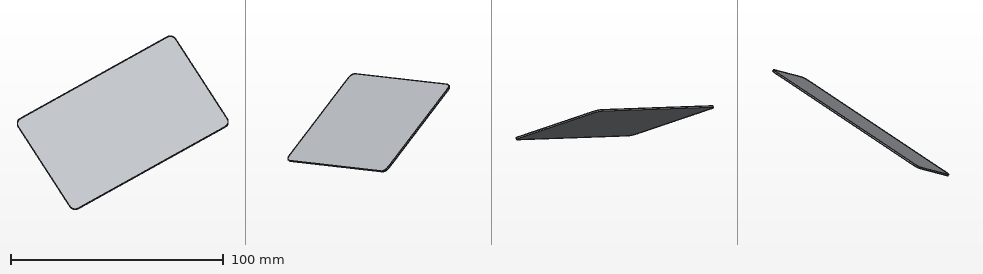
import cadquery as cq

length = 86.0
width = 54.0
thickness = 0.8
corner_radius = 3.0

tip_about_y = 33.34
tip_about_x = 20.0


def flat_plate():
    """Card-like plate with rounded corners, centred on the origin."""
    plate = cq.Workplane("XY").box(width, length, thickness)
    return plate.edges("|Z").fillet(corner_radius)


def tilt(plate):
    """Lower the +X edge, then raise the +Y end."""
    origin = (0, 0, 0)
    x_axis = (1, 0, 0)
    y_axis = (0, 1, 0)
    tipped = plate.rotate(origin, y_axis, tip_about_y)
    return tipped.rotate(origin, x_axis, tip_about_x)


result = tilt(flat_plate())